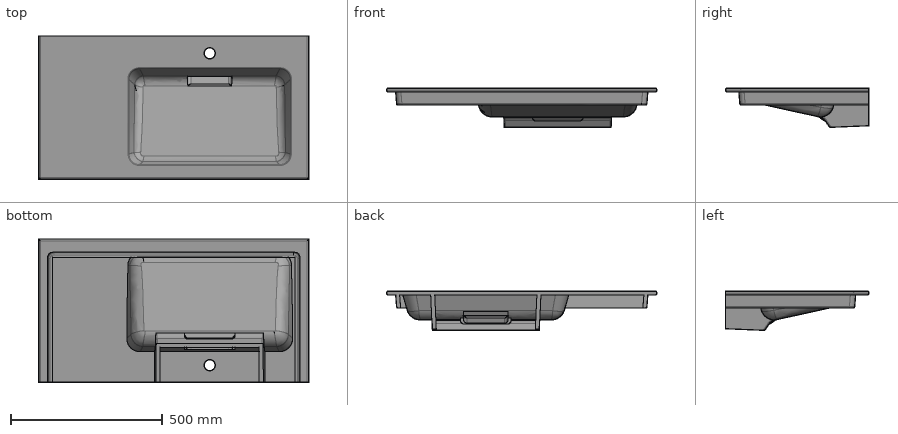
import cadquery as cq
import math


length = 894.0
depth = 475.0
height = 130.5
slab_thickness = 13.0
slab_edge_radius = 6.0

wall = 13.0
bowl_wall = 10.0
bowl_floor_thickness = 14.0

skirt_inset = 29.5
skirt_front = 44.0
skirt_bottom = -56.0
skirt_draft = 4.0
skirt_corner_radius = 18.0
skirt_edge_radius = 5.0

bowl_center_x = 566.0
rim_half_width = 268.0
rim_front = 48.0
rim_back = 367.0
rim_corner_radius = 36.0
rim_edge_radius = 4.0
floor_half_width = 241.0
floor_front = 65.0
floor_back = 333.5
floor_front_z = -28.0
floor_slope = 0.22
floor_corner_radius = 27.0
floor_fillet = 29.5
underside_fillet = 45.0

housing_half_width = 180.0
housing_draft = 3.0
housing_top_front = 311.0
housing_foot_front = 345.0
housing_top_z = -97.0
housing_throat = (329.0, -107.0)
housing_back_z = -125.0
housing_edge_radius = 4.5

slot_half_width = 74.0
slot_front = 309.0
slot_back = 371.0
slot_top = -68.0
slot_step_z = -83.0
slot_floor_front = 316.5
slot_floor_z = -89.0
slot_slope = 0.35
slot_end_radius = 12.5
ledge_half_width = slot_half_width + 9.0
ledge_foot_front = 327.0
ledge_back = 365.0
ledge_bottom = -109.0
ledge_chamfer = 7.0

tap_y = 417.5
tap_diameter = 36.0

pick_margin = 1.0


def block(x_min, x_max, y_min, y_max, z_min, z_max):
    """Axis-aligned box between the given limits."""
    size = (x_max - x_min, y_max - y_min, z_max - z_min)
    return cq.Workplane("XY").box(*size, centered=False).translate((x_min, y_min, z_min))


def rounded_rectangle(plane, half_width, front, back, radius):
    """Wire on a plane whose local Y is measured from the plane origin."""
    size = (2 * half_width, back - front)
    wire = cq.Workplane(plane).center(0, (front + back) / 2).rect(*size).val()
    return wire.fillet2D(radius, wire.Vertices())


def bowl_body(offset, drop, bottom_fillet):
    """Bowl shape grown outward by the offset, with its floor lowered by the drop."""
    rim_plane = cq.Plane((bowl_center_x, 0, 0))
    floor_plane = cq.Plane(
        (bowl_center_x, floor_front, floor_front_z - drop),
        xDir=(1, 0, 0),
        normal=(0, floor_slope, 1),
    )
    floor_length = (floor_back - floor_front) * math.hypot(1, floor_slope)
    rim = rounded_rectangle(
        rim_plane,
        rim_half_width + offset,
        rim_front - offset,
        rim_back + offset,
        rim_corner_radius + offset,
    )
    floor = rounded_rectangle(
        floor_plane,
        floor_half_width + offset,
        -offset,
        floor_length + offset,
        floor_corner_radius + offset,
    )
    body = cq.Workplane(cq.Solid.makeLoft([floor, rim], True))
    return body.faces("<Z").edges().fillet(bottom_fillet)


def slab():
    """Counter slab, rounded along its front, left and right sides."""
    body = block(0, length, 0, depth, -slab_thickness, 0)
    side_edges = body.faces("<Z or >Z").edges("<X or >X or <Y")
    return side_edges.fillet(slab_edge_radius)


def skirt_block(inset):
    """Drafted block below the slab, inset from the outside of the skirt."""

    def outline(z, draft):
        left = skirt_inset + inset + draft
        right = length - left
        front = skirt_front + inset + draft
        corners = [(left, front), (right, front), (right, depth), (left, depth)]
        return cq.Wire.makePolygon([cq.Vector(x, y, z) for x, y in corners], close=True)

    top = outline(-slab_thickness, 0)
    bottom = outline(skirt_bottom, skirt_draft)
    return cq.Workplane(cq.Solid.makeLoft([bottom, top], True))


def skirt():
    """Hollow skirt, open underneath and at the back, with rounded front corners and lower edge."""
    outside = skirt_block(0)
    outside = outside.faces("<Y").edges("not(|X)").fillet(skirt_corner_radius)
    outside = outside.faces("<Z").edges("not(>Y)").fillet(skirt_edge_radius)
    return outside.cut(skirt_block(wall))


def housing_block(inset):
    """Drain housing shape up to the slab, inset on its sides and front."""
    foot_slope = (housing_back_z + height) / (depth - housing_foot_front)
    foot_front = housing_foot_front + inset
    top_front = housing_top_front + inset
    throat_y, throat_z = housing_throat
    side_profile = (
        cq.Workplane("YZ")
        .moveTo(depth, -slab_thickness)
        .lineTo(depth, housing_back_z)
        .lineTo(foot_front, -height + foot_slope * inset)
        .lineTo(throat_y + inset, throat_z)
        .tangentArcPoint((top_front, housing_top_z), relative=False)
        .lineTo(top_front, -slab_thickness)
        .close()
        .extrude(length)
    )
    half_top = housing_half_width + housing_draft - inset
    half_foot = housing_half_width - housing_draft - inset
    front_profile = [
        (bowl_center_x - half_top, -slab_thickness),
        (bowl_center_x - half_foot, -height),
        (bowl_center_x + half_foot, -height),
        (bowl_center_x + half_top, -slab_thickness),
    ]
    sides = cq.Workplane("XZ").polyline(front_profile).close().extrude(-depth)
    return side_profile.intersect(sides)


def housing():
    """Drain housing walls, open underneath and at the back."""
    outside = housing_block(0)
    front_slope = cq.selectors.BoxSelector(
        (0, housing_throat[0], -height),
        (length, housing_foot_front - pick_margin, housing_throat[1]),
    )
    outside = outside.edges(front_slope).fillet(housing_edge_radius)
    return outside.cut(housing_block(wall))


def bowl_shell():
    """Bowl outside, kept behind the front of the skirt."""
    room = block(0, length, skirt_front + wall / 2, depth, -height, -slab_thickness / 2)
    return bowl_body(bowl_wall, bowl_floor_thickness, underside_fillet).intersect(room)


def slot_ledge():
    """Shelf under the drain slot, chamfered at its lower ends."""
    profile = [
        (housing_top_front, slot_floor_z),
        (housing_top_front, housing_top_z),
        (ledge_foot_front, ledge_bottom),
        (ledge_back, ledge_bottom),
        (ledge_back, slot_floor_z),
    ]
    body = cq.Workplane("YZ").polyline(profile).close().extrude(ledge_half_width, both=True)
    body = body.edges("|Y").edges("<Z").chamfer(ledge_chamfer)
    return body.translate((bowl_center_x, 0, 0))


def drain_slot():
    """Slot through the back of the bowl; its floor falls toward the drain housing."""
    back_z = slot_floor_z - slot_slope * (slot_back - slot_floor_front)
    profile = [
        (slot_front, slot_top),
        (slot_front, slot_step_z),
        (slot_floor_front, slot_floor_z),
        (slot_back, back_z),
        (slot_back, slot_top),
    ]
    body = cq.Workplane("YZ").polyline(profile).close().extrude(slot_half_width, both=True)
    end_edges = cq.selectors.BoxSelector(
        (-length, slot_floor_front + pick_margin, back_z),
        (length, slot_back - pick_margin, slot_floor_z),
    )
    body = body.faces("<X or >X").edges(end_edges).fillet(slot_end_radius)
    return body.translate((bowl_center_x, 0, 0))


def tap_hole():
    """Round hole through the slab behind the bowl."""
    hole = cq.Workplane("XY").center(bowl_center_x, tap_y).circle(tap_diameter / 2)
    return hole.extrude(-slab_thickness)


def bowl_rim_selector():
    """Selects the edges of the bowl opening in the top face."""
    return cq.selectors.BoxSelector(
        (bowl_center_x - rim_half_width - pick_margin, rim_front - pick_margin, -pick_margin),
        (bowl_center_x + rim_half_width + pick_margin, rim_back + pick_margin, pick_margin),
    )


result = slab().union(skirt()).union(housing()).union(bowl_shell()).union(slot_ledge())
result = result.cut(bowl_body(0, 0, floor_fillet)).cut(drain_slot()).cut(tap_hole())
result = result.edges(bowl_rim_selector()).fillet(rim_edge_radius)